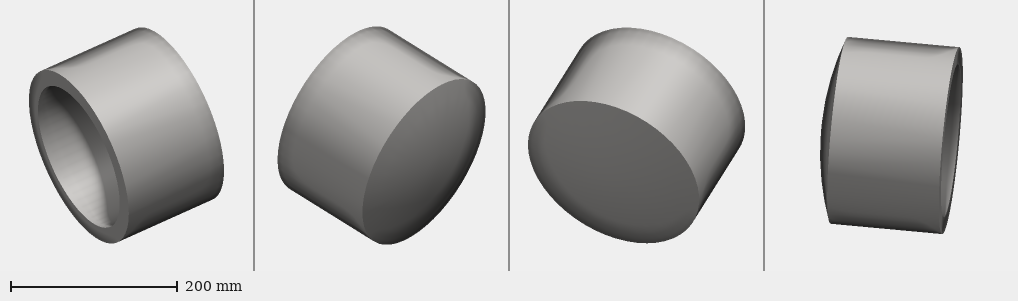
import cadquery as cq

outer_diameter = 225.0
wall = 20.5
skirt_length = 134.8
total_length = 155.2

outer_radius = outer_diameter / 2
bore_radius = outer_radius - wall
dome_rise = total_length - skirt_length

dome_radius = (outer_radius**2 + dome_rise**2) / (2 * dome_rise)
dome_centre = total_length - dome_radius

inner_dome_radius = dome_radius - wall
inner_apex = dome_centre + inner_dome_radius
bore_depth = dome_centre + (inner_dome_radius**2 - bore_radius**2) ** 0.5


def arc_midpoint(radius, edge_radius):
    """Point on a dome of the given radius, halfway out to its edge."""
    half_edge = edge_radius / 2
    return half_edge, dome_centre + (radius**2 - half_edge**2) ** 0.5


section = (
    cq.Workplane("XY")
    .moveTo(bore_radius, 0)
    .lineTo(outer_radius, 0)
    .lineTo(outer_radius, skirt_length)
    .threePointArc(arc_midpoint(dome_radius, outer_radius), (0, total_length))
    .lineTo(0, inner_apex)
    .threePointArc(arc_midpoint(inner_dome_radius, bore_radius), (bore_radius, bore_depth))
    .close()
)
result = section.revolve(360, (0, 0, 0), (0, 1, 0))